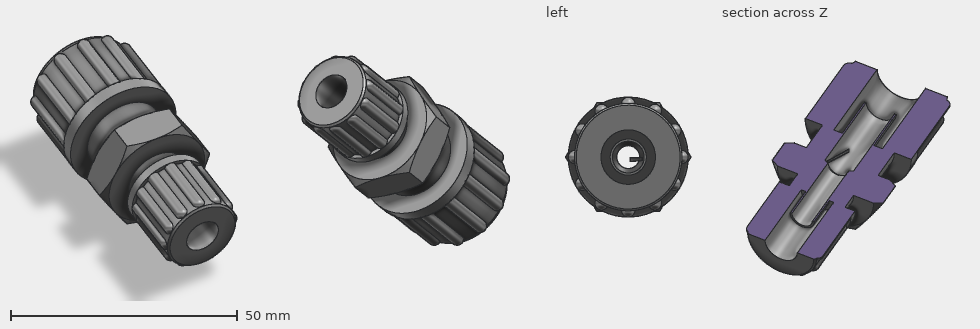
import cadquery as cq
import math


large_collar_start = 17.3
large_collar_end = 20.45
hex_start = 28.0
hex_end = 35.95
small_collar_start = 39.85
small_collar_end = 41.95
total_length = 57.0

large_collar_diameter = 26.5
large_grip_diameter = 23.7
large_face_diameter = 22.9
large_chamfer_length = 0.9
large_rib_height = 13.2

small_collar_diameter = 19.0
small_grip_diameter = 17.2
small_face_diameter = 16.3
small_chamfer_length = 0.45
small_rib_height = small_collar_diameter / 2

rib_count = 12
rib_radius = 1.5

large_neck_diameter = 18.0
small_neck_diameter = 14.0
hex_across_flats = 24.0
hex_across_corners = hex_across_flats / math.cos(math.radians(30))
hex_chamfer_angle = 30

large_socket_diameter = 12.0
large_nozzle_diameter = 8.0
large_nozzle_bore = 7.0
small_socket_diameter = 8.0
small_nozzle_diameter = 6.0
through_bore = 5.0
nozzle_setback = 10.0
bore_taper_start = 29.35
bore_taper_slope = 30
bore_taper_drop = (large_nozzle_bore - through_bore) / 2
bore_taper_end = bore_taper_start + bore_taper_drop * math.tan(math.radians(bore_taper_slope))

fin_root_x = 23.95
fin_root_y = -0.45
fin_tip_x = small_collar_end
fin_tip_y = -8.95
fin_top_z = -0.1
fin_root_height = 0.9
fin_tip_height = 0.1
fin_thickness = 0.1


def cylinder(diameter, start, end):
    """Cylinder on the X axis between two stations."""
    return cq.Workplane("YZ", origin=(start, 0, 0)).circle(diameter / 2).extrude(end - start)


def revolved(points):
    """Solid of revolution about X from (station, radius) points."""
    return cq.Workplane("XY").polyline(points).close().revolve(360, (0, 0, 0), (1, 0, 0))


def cap_nut(face_x, collar_near_x, collar_far_x, collar_diameter, grip_diameter,
            face_diameter, chamfer_length, rib_height):
    """Ribbed nut whose open face is at face_x and whose collar is at the inner end."""
    inward = math.copysign(1, collar_near_x - face_x)
    chamfer_x = face_x + inward * chamfer_length
    nut = revolved([
        (face_x, 0),
        (face_x, face_diameter / 2),
        (chamfer_x, grip_diameter / 2),
        (collar_near_x, grip_diameter / 2),
        (collar_near_x, collar_diameter / 2),
        (collar_far_x, collar_diameter / 2),
        (collar_far_x, 0),
    ])
    ball_x = chamfer_x + inward * rib_radius
    rib_centre = rib_height - rib_radius
    bar = cylinder(2 * rib_radius, min(ball_x, collar_near_x), max(ball_x, collar_near_x))
    ball = cq.Workplane("XY").sphere(rib_radius).translate((ball_x, 0, 0))
    rib = bar.union(ball).translate((0, 0, rib_centre))
    for index in range(rib_count):
        nut = nut.union(rib.rotate((0, 0, 0), (1, 0, 0), index * 360 / rib_count))
    return nut


def hexagon():
    """Hexagon with corners on Y and a conical chamfer on both ends."""
    width = hex_end - hex_start
    prism = cq.Workplane("YZ", origin=(hex_start, 0, 0)).polygon(6, hex_across_corners).extrude(width)
    flat_radius = hex_across_flats / 2
    corner_radius = hex_across_corners / 2
    chamfer = (corner_radius - flat_radius) * math.tan(math.radians(hex_chamfer_angle))
    envelope = revolved([
        (hex_start, 0),
        (hex_start, flat_radius),
        (hex_start + chamfer, corner_radius),
        (hex_end - chamfer, corner_radius),
        (hex_end, flat_radius),
        (hex_end, 0),
    ])
    return prism.intersect(envelope)


def passage():
    """Bore through both nozzles, tapering from the large one down to the small one."""
    return revolved([
        (0, 0),
        (0, large_nozzle_bore / 2),
        (bore_taper_start, large_nozzle_bore / 2),
        (bore_taper_end, through_bore / 2),
        (total_length, through_bore / 2),
        (total_length, 0),
    ])


def fin():
    """Slanted thin plate whose height shrinks towards the small collar."""
    run_x = fin_tip_x - fin_root_x
    run_y = fin_tip_y - fin_root_y
    length = math.hypot(run_x, run_y)
    slant = math.degrees(math.atan2(run_y, run_x))
    outline = [
        (0, fin_top_z),
        (length, fin_top_z),
        (length, fin_top_z - fin_tip_height),
        (0, fin_top_z - fin_root_height),
    ]
    plate = cq.Workplane("XZ").polyline(outline).close().extrude(fin_thickness / 2, both=True)
    return plate.rotate((0, 0, 0), (0, 0, 1), slant).translate((fin_root_x, fin_root_y, 0))


large_nut = cap_nut(0, large_collar_start, large_collar_end, large_collar_diameter,
                    large_grip_diameter, large_face_diameter, large_chamfer_length, large_rib_height)
small_nut = cap_nut(total_length, small_collar_end, small_collar_start, small_collar_diameter,
                    small_grip_diameter, small_face_diameter, small_chamfer_length, small_rib_height)

large_socket = cylinder(large_socket_diameter, 0, large_collar_end).cut(
    cylinder(large_nozzle_diameter, nozzle_setback, large_collar_end))
small_socket = cylinder(small_socket_diameter, small_collar_start, total_length).cut(
    cylinder(small_nozzle_diameter, small_collar_start, total_length - nozzle_setback))

body = (
    large_nut
    .union(cylinder(large_neck_diameter, large_collar_end, hex_start))
    .union(hexagon())
    .union(cylinder(small_neck_diameter, hex_end, small_collar_start))
    .union(small_nut)
    .cut(large_socket)
    .cut(small_socket)
    .cut(passage())
)

result = body.union(fin())